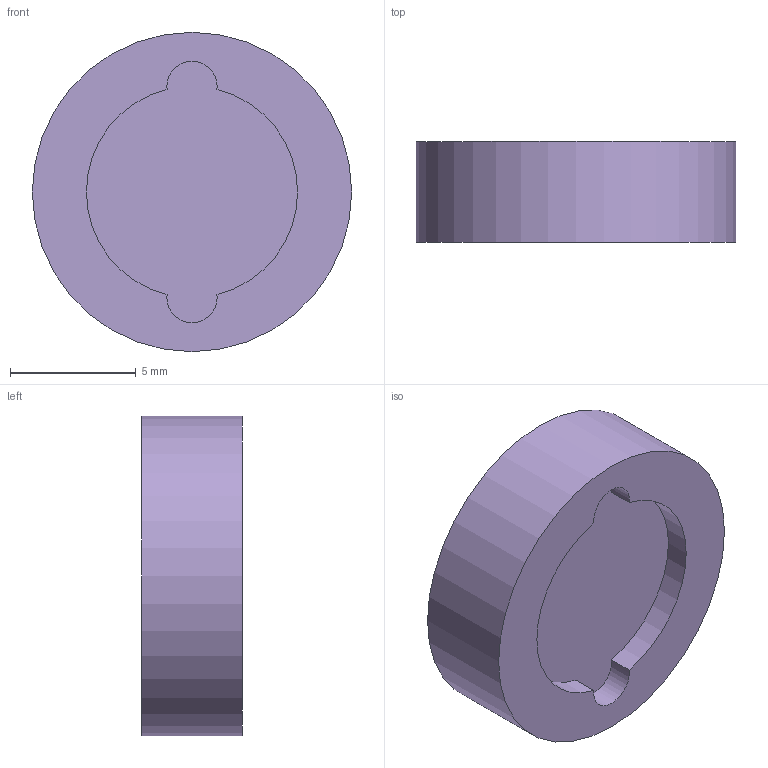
import cadquery as cq

disc_diameter = 12.7
disc_thickness = 4.0

pocket_diameter = 8.4
pocket_depth = 1.0

notch_diameter = 2.0
notch_offset = pocket_diameter / 2


def front_cylinder(diameter, length, center_z=0.0):
    """Cylinder running from the front face (Y = 0) toward +Y."""
    start = cq.Vector(0, 0, center_z)
    into_part = cq.Vector(0, 1, 0)
    return cq.Workplane(cq.Solid.makeCylinder(diameter / 2, length, start, into_part))


def pocket():
    """Round pocket with its two finger notches."""
    cutter = front_cylinder(pocket_diameter, pocket_depth)
    for side in (1, -1):
        cutter = cutter.union(front_cylinder(notch_diameter, pocket_depth, side * notch_offset))
    return cutter


disc = front_cylinder(disc_diameter, disc_thickness)
result = disc.cut(pocket())